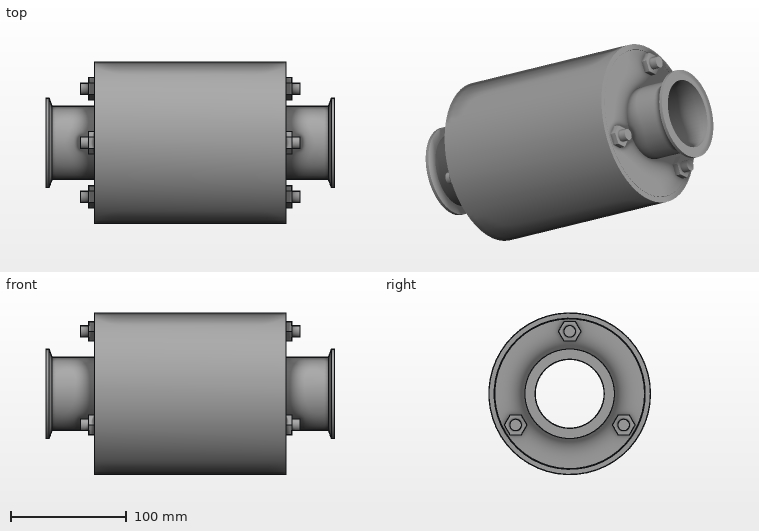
import cadquery as cq
import math


SLEEVE_DIAMETER = 140.0
SLEEVE_BORE = 130.4
BODY_LENGTH = 166.0

DRUM_DIAMETER = 130.0
OVERALL_LENGTH = 250.0
PIPE_DIAMETER = 63.5
PIPE_BORE = 59.5
FERRULE_DIAMETER = 77.5
FERRULE_RIM = 2.85
FERRULE_TAPER_ANGLE = 20.0

STUD_COUNT = 3
FIRST_STUD_ANGLE = 90.0
STUD_CIRCLE_RADIUS = 54.0
STUD_DIAMETER = 10.0
STUD_SPAN = 190.0
NUT_ACROSS_CORNERS = 19.6
NUT_SIDES = 6
NUT_THICKNESS = 5.0

HALF_BODY = BODY_LENGTH / 2
HALF_OVERALL = OVERALL_LENGTH / 2


def make_sleeve():
    """Plain tube that surrounds the drum with a small radial clearance."""
    return (
        cq.Workplane("YZ", origin=(-HALF_BODY, 0, 0))
        .circle(SLEEVE_DIAMETER / 2)
        .circle(SLEEVE_BORE / 2)
        .extrude(BODY_LENGTH)
    )


def make_drum_and_pipe():
    """Drum, pipe and both ferrules, revolved as one profile about X."""
    rim_end = HALF_OVERALL - FERRULE_RIM
    taper_height = (FERRULE_DIAMETER - PIPE_DIAMETER) / 2
    taper_end = rim_end - taper_height * math.tan(math.radians(FERRULE_TAPER_ANGLE))
    right_half = [
        (HALF_BODY, DRUM_DIAMETER / 2),
        (HALF_BODY, PIPE_DIAMETER / 2),
        (taper_end, PIPE_DIAMETER / 2),
        (rim_end, FERRULE_DIAMETER / 2),
        (HALF_OVERALL, FERRULE_DIAMETER / 2),
        (HALF_OVERALL, PIPE_BORE / 2),
    ]
    left_half = [(-x, radius) for x, radius in reversed(right_half)]
    return (
        cq.Workplane("XY")
        .polyline(right_half + left_half)
        .close()
        .revolve(360, (0, 0, 0), (1, 0, 0))
    )


def make_stud(angle):
    """Stud through the drum with a hexagonal nut on each drum face.

    One long hexagonal bar gives both nuts, as its middle merges into the drum.
    """
    y = STUD_CIRCLE_RADIUS * math.cos(math.radians(angle))
    z = STUD_CIRCLE_RADIUS * math.sin(math.radians(angle))
    nuts = (
        cq.Workplane("YZ")
        .center(y, z)
        .polygon(NUT_SIDES, NUT_ACROSS_CORNERS)
        .extrude(HALF_BODY + NUT_THICKNESS, both=True)
    )
    stud = (
        cq.Workplane("YZ")
        .center(y, z)
        .circle(STUD_DIAMETER / 2)
        .extrude(STUD_SPAN / 2, both=True)
    )
    return nuts.union(stud)


def make_core():
    """Drum, pipe and the fastener ends, one at the top and the rest evenly spaced."""
    core = make_drum_and_pipe()
    for index in range(STUD_COUNT):
        core = core.union(make_stud(FIRST_STUD_ANGLE + index * 360 / STUD_COUNT))
    return core


sleeve = make_sleeve()
core = make_core()

result = cq.Compound.makeCompound([sleeve.val(), *core.vals()])